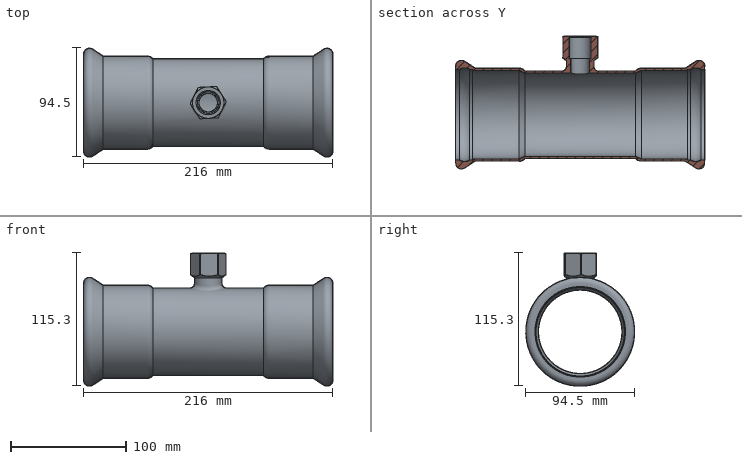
import cadquery as cq
import math

length = 216.0
half_length = length / 2
tube_radius = 76.0 / 2
bore_radius = 72.1 / 2
wall = tube_radius - bore_radius
socket_radius = 80.8 / 2
socket_bore_radius = 76.7 / 2
mouth_radius = 78.5 / 2

cone_end = 17.0
socket_end = 55.0
neck_end = 60.0

shoulder_bulge_run = 0.6
shoulder_bulge_drop = 0.3

bead_radius = 5.2
bead_crest_radius = 94.5 / 2
bead_mid_angle = -30
bead_center_radius = bead_crest_radius - bead_radius

lip_end = 3.5
groove_end = 12.3
groove_depth = 1.3
seat_end = 15.0
seat_taper_radius = 38.7
seat_taper_end = 16.8

branch_top = 115.3 - bead_crest_radius
stem_radius = 24.0 / 2
weld_fillet = 3.7
hex_corner_radius = 15.8
hex_clip_radius = 15.5
hex_sides = 6
hex_turn = 3.0
hex_height = 21.4
hex_top_radius = 13.5
hex_top_chamfer = 0.6
hex_bottom_chamfer = 2.8
thread_mouth_radius = 21.0 / 2
thread_radius = 18.5 / 2
thread_depth = 19.5
passage_radius = 16.0 / 2


def bead_point(from_crest):
    """Point on the bead circle, turned from its crest toward the pipe middle."""
    angle = math.radians(from_crest)
    return (
        -half_length + bead_radius + bead_radius * math.sin(angle),
        bead_center_radius + bead_radius * math.cos(angle),
    )


def cone_tangent_angle():
    """Turn from the crest at which the line to the cone foot leaves the bead tangentially."""
    run = cone_end - bead_radius
    drop = bead_center_radius - socket_radius
    distance = math.hypot(run, drop)
    foot_direction = math.degrees(math.atan2(run, -drop))
    return foot_direction - math.degrees(math.acos(bead_radius / distance))


def revolve_about_x(profile):
    return profile.close().revolve(360, (0, 0, 0), (1, 0, 0))


def make_end_outer():
    """Solid left end of the pipe: bead, cone, socket and shoulder."""
    shoulder_point = (
        -half_length + socket_end + shoulder_bulge_run * (neck_end - socket_end),
        socket_radius - shoulder_bulge_drop * (socket_radius - tube_radius),
    )
    profile = (
        cq.Workplane("XZ")
        .moveTo(-half_length + neck_end, 0)
        .lineTo(-half_length, 0)
        .lineTo(-half_length, bead_center_radius)
        .threePointArc(bead_point(bead_mid_angle), bead_point(cone_tangent_angle()))
        .lineTo(-half_length + cone_end, socket_radius)
        .lineTo(-half_length + socket_end, socket_radius)
        .threePointArc(
            shoulder_point,
            (-half_length + neck_end, tube_radius),
        )
    )
    return revolve_about_x(profile)


def make_end_bore():
    """Left half of the pipe bore: mouth, groove, seat, socket and tube bore."""
    profile = (
        cq.Workplane("XZ")
        .moveTo(0, 0)
        .lineTo(-half_length, 0)
        .lineTo(-half_length, mouth_radius)
        .lineTo(-half_length + lip_end, mouth_radius)
        .threePointArc(
            (-half_length + (lip_end + groove_end) / 2, mouth_radius + groove_depth),
            (-half_length + groove_end, mouth_radius),
        )
        .lineTo(-half_length + seat_end, mouth_radius)
        .lineTo(-half_length + seat_end, seat_taper_radius)
        .lineTo(-half_length + seat_taper_end, socket_bore_radius)
        .lineTo(-half_length + socket_end, socket_bore_radius)
        .lineTo(-half_length + neck_end, bore_radius)
        .lineTo(0, bore_radius)
    )
    return revolve_about_x(profile)


def make_hex():
    """Hexagon with its corners turned down at the top and bottom."""
    bottom = branch_top - hex_height
    prism = (
        cq.Workplane("XY", origin=(0, 0, bottom))
        .polygon(hex_sides, 2 * hex_corner_radius)
        .extrude(hex_height)
        .rotate((0, 0, 0), (0, 0, 1), hex_turn)
    )
    envelope = (
        cq.Workplane("XZ")
        .polyline([
            (0, bottom),
            (stem_radius, bottom),
            (hex_clip_radius, bottom + hex_bottom_chamfer),
            (hex_clip_radius, branch_top - hex_top_chamfer),
            (hex_top_radius, branch_top),
            (0, branch_top),
        ])
        .close()
        .revolve(360, (0, 0, 0), (0, 1, 0))
    )
    return prism.intersect(envelope)


def make_branch_bore():
    """Chamfered thread bore narrowing to the passage into the pipe."""
    chamfer = thread_mouth_radius - thread_radius
    return (
        cq.Workplane("XZ")
        .polyline([
            (0, 0),
            (passage_radius, 0),
            (passage_radius, branch_top - thread_depth),
            (thread_radius, branch_top - thread_depth),
            (thread_radius, branch_top - chamfer),
            (thread_mouth_radius, branch_top),
            (0, branch_top),
        ])
        .close()
        .revolve(360, (0, 0, 0), (0, 1, 0))
    )


tube = cq.Workplane("YZ").circle(tube_radius).extrude(half_length - neck_end, both=True)
stem = cq.Workplane("XY").circle(stem_radius).extrude(branch_top - hex_height)
stem_foot = cq.selectors.BoxSelector(
    (-stem_radius, -stem_radius, bore_radius - wall),
    (stem_radius, stem_radius, tube_radius + wall),
)
body = tube.union(stem).edges(stem_foot).fillet(weld_fillet)

end = make_end_outer()
body = body.union(end).union(end.mirror("YZ")).union(make_hex())

end_bore = make_end_bore()
bore = end_bore.union(end_bore.mirror("YZ"))
result = body.cut(bore).cut(make_branch_bore())